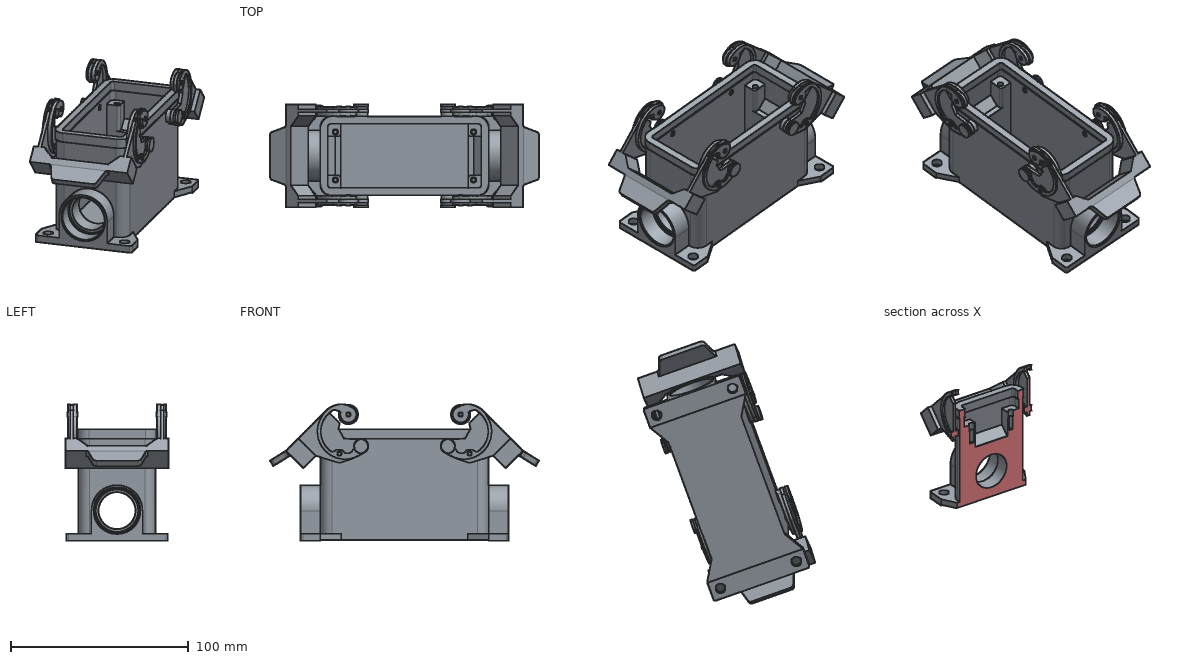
import math

import cadquery as cq

LENGTH_HALF = 47.3
RIM_LENGTH_HALF = 47.45
WIDTH_HALF = 21.8
RIM_WIDTH_HALF = 22.25
CORNER_RADIUS = 6.3
BODY_BOTTOM = 0.45
RIM_BOTTOM = 57.4
BODY_TOP = 62.8

MOUTH_LENGTH_HALF = 43.1
MOUTH_WIDTH_HALF = 18.0
MOUTH_RADIUS = 1.5
CAVITY_LENGTH_HALF = 44.2
CAVITY_WIDTH_HALF = 18.5
CAVITY_RADIUS = 2.5
FLOOR_TOP = 3.5
END_BLOCK_X = 35.8
RAMP_FOOT_X = 39.0
RAMP_FOOT_Z = 36.0
RAMP_TOP_Z = 40.9

POST_TOP = 51.4
POST_INNER_Y = 10.95
POST_CORNER_RADIUS = 1.5
POST_HOLE_X = 38.9
POST_HOLE_Y = 13.5
POST_HOLE_DIAMETER = 3.1
POST_HOLE_LEAD_DEPTH = 4.0
POST_CORE_DIAMETER = 2.2
POST_HOLE_DEPTH = 12.0

ENTRY_END_X = 58.6
ENTRY_AXIS_Z = 17.0
ENTRY_RADIUS = 14.35
ENTRY_BORE_RADIUS = 12.5
ENTRY_BORE_DEPTH = 10.4
ENTRY_SEAT_RADIUS = 11.9
ENTRY_SEAT_DEPTH = 11.3
ENTRY_CHAMFER = 0.7
ENTRY_PASSAGE_RADIUS = 10.35

FOOT_HALF_WIDTH = 28.65
FOOT_TOP = 4.1
FOOT_TAPER_END_X = 35.7
FOOT_CORNER_RADIUS = 1.3
FOOT_HOLE_X = 52.8
FOOT_HOLE_Y = 22.7
FOOT_HOLE_DIAMETER = 5.5

LEVER_LENGTH_HALF = 151.49 / 2
LEVER_WIDTH_HALF = 29.0
LAYER_INNER_Y = 22.4
LAYER_MIDDLE_Y = 24.5
LAYER_OUTER_Y = 26.4
LAYER_END_Y = 27.6
BAR_CORNER = (-66.75, 50.65)
BAR_WIDTH = 9.9
BAR_DEPTH = 13.9
BAR_WEB_WIDTH = 4.0
BAR_WEB_HALF_LENGTH = 16.6
FLAP_ANGLE = 31.5
FLAP_THICKNESS = 3.6
FLAP_ROOT_HALF_WIDTH = 17.3
FLAP_NECK_HALF_WIDTH = 15.9
FLAP_FLARE_LENGTH = 1.7
FLAP_FLARE_BOW = (16.3, -0.7)
FLAP_TIP_HALF_WIDTH = 13.1
FLAP_TIP_RADIUS = 2.0

CLAW_SHOULDER_STEP = 15.9
CLAW_EDGE = [
    (-36.3, 66.1),
    (-37.1, 63.0),
    (-34.1, 57.7),
    (-32.0, 57.3),
    (-24.4, 57.2),
]
HOOK_TOP_Z = 76.91
HOOK_CENTER = (-33.4, 61.5)
HOOK_OUTER_RADIUS = 15.6
HOOK_INNER_RADIUS = 13.7
ROLLER_CENTER = (-31.6, 71.05)
ROLLER_RADIUS = 5.5
HOOK_TIP_RADIUS = 4.5
HOOK_APEX_X = -36.2
HOOK_SHOULDER_BOW = (-43.3, 74.0)
HOOK_GAP_BOW = (-38.0, 73.3)
HOOK_GAP_CORNER = (-40.4, 73.4)
TAIL_BOW = (-27.0, 47.3)
TAIL_END_ANGLE = -55
TAIL_RELIEF_BOW = (-39.6, 50.4)
TAIL_RELIEF_LEFT = (-38.3, 51.3)
TAIL_RELIEF_RIGHT = (-35.3, 51.3)
TAIL_DIP_START = (-33.6, 49.5)
TAIL_DIP_BOW = (-31.6, 49.2)
TAIL_DIP_END = (-28.9, 51.4)
PIVOT_CENTER = (-36.6, 49.1)
PIVOT_LOBE_RADIUS = 5.1
RIVET_RADIUS = 1.3
RIVET_PROUD = 0.45
RIVET_CHAMFER = 0.3
PIN_CENTER = (-24.4, 53.3)
PIN_RADIUS = 3.75
PIN_HEAD_RADIUS = 4.05
PIN_END_RADIUS = 1.6
PIN_END_RECESS = 1.2

INNER_START_ANGLE = 133
INNER_LEFT_ANGLE = 190
INNER_END_ANGLE = 237
OUTER_START_ANGLE = 147
OUTER_LEFT_ANGLE = 205
OUTER_END_ANGLE = 275
TIP_START_ANGLE = 75
TIP_LOW_ANGLE = -60
TIP_END_ANGLE = 165
LOBE_START_ANGLE = -107
LOBE_LOW_ANGLE = -85
LOBE_END_ANGLE = -60


def both_ends(shape):
    return shape.union(shape.mirror("YZ"))


def both_sides(shape):
    return shape.union(shape.mirror("XZ"))


def rounded_block(half_length, half_width, z_low, z_high, radius):
    block = cq.Workplane("XY").workplane(offset=z_low)
    block = block.rect(2 * half_length, 2 * half_width).extrude(z_high - z_low)
    return block.edges("|Z").fillet(radius)


def side_layer(outline, y_near, y_far):
    """Extrude an XZ outline between two distances from the mid plane, on the -Y side."""
    return outline.extrude(y_far - y_near).translate((0, -y_near, 0))


def side_disc(center, radius, y_near, y_far):
    return side_layer(cq.Workplane("XZ").center(*center).circle(radius), y_near, y_far)


def polar(center, radius, degrees):
    angle = math.radians(degrees)
    return (center[0] + radius * math.cos(angle), center[1] + radius * math.sin(angle))


def make_shell():
    shell = rounded_block(LENGTH_HALF, WIDTH_HALF, BODY_BOTTOM, RIM_BOTTOM, CORNER_RADIUS)
    rim = rounded_block(RIM_LENGTH_HALF, RIM_WIDTH_HALF, RIM_BOTTOM, BODY_TOP, CORNER_RADIUS)
    return shell.union(rim)


def make_foot():
    outline = [
        (-ENTRY_END_X, -FOOT_HALF_WIDTH),
        (-LENGTH_HALF, -FOOT_HALF_WIDTH),
        (-FOOT_TAPER_END_X, -WIDTH_HALF),
        (-FOOT_TAPER_END_X, WIDTH_HALF),
        (-LENGTH_HALF, FOOT_HALF_WIDTH),
        (-ENTRY_END_X, FOOT_HALF_WIDTH),
    ]
    foot = cq.Workplane("XY").workplane(offset=BODY_BOTTOM).polyline(outline).close()
    foot = foot.extrude(FOOT_TOP - BODY_BOTTOM)
    pad = cq.Workplane("XY").box(
        ENTRY_END_X - LENGTH_HALF, 2 * FOOT_HALF_WIDTH, FOOT_TOP, centered=(False, True, False)
    )
    foot = foot.union(pad.translate((-ENTRY_END_X, 0, 0)))
    return foot.edges("|Z and <X").fillet(FOOT_CORNER_RADIUS)


def make_entry():
    length = ENTRY_END_X - LENGTH_HALF + CORNER_RADIUS
    entry = (
        cq.Workplane("YZ")
        .moveTo(-ENTRY_RADIUS, BODY_BOTTOM)
        .lineTo(-ENTRY_RADIUS, ENTRY_AXIS_Z)
        .threePointArc((0, ENTRY_AXIS_Z + ENTRY_RADIUS), (ENTRY_RADIUS, ENTRY_AXIS_Z))
        .lineTo(ENTRY_RADIUS, BODY_BOTTOM)
        .close()
        .extrude(length)
    )
    return entry.translate((-ENTRY_END_X, 0, 0))


def make_cavity():
    cavity = rounded_block(
        CAVITY_LENGTH_HALF, CAVITY_WIDTH_HALF, FLOOR_TOP, RIM_BOTTOM, CAVITY_RADIUS
    )
    mouth = rounded_block(
        MOUTH_LENGTH_HALF, MOUTH_WIDTH_HALF, RIM_BOTTOM, BODY_TOP, MOUTH_RADIUS
    )
    cavity = cavity.union(mouth)
    end_wall = [
        (-LENGTH_HALF, FLOOR_TOP),
        (-END_BLOCK_X, FLOOR_TOP),
        (-END_BLOCK_X, RAMP_FOOT_Z),
        (-RAMP_FOOT_X, RAMP_FOOT_Z),
        (-CAVITY_LENGTH_HALF, RAMP_TOP_Z),
        (-LENGTH_HALF, RAMP_TOP_Z),
    ]
    wall = cq.Workplane("XZ").polyline(end_wall).close().extrude(WIDTH_HALF, both=True)
    post_length = LENGTH_HALF - END_BLOCK_X
    post = (
        cq.Workplane("XY")
        .box(post_length, WIDTH_HALF - POST_INNER_Y, POST_TOP - FLOOR_TOP, centered=False)
        .edges("|Z and >X and >Y")
        .fillet(POST_CORNER_RADIUS)
        .translate((-LENGTH_HALF, -WIDTH_HALF, FLOOR_TOP))
    )
    return cavity.cut(both_ends(wall.union(both_sides(post))))


def make_bores():
    entry_plane = cq.Workplane("YZ").center(0, ENTRY_AXIS_Z)
    passage = entry_plane.circle(ENTRY_PASSAGE_RADIUS).extrude(ENTRY_END_X - END_BLOCK_X)
    thread_bore = entry_plane.circle(ENTRY_BORE_RADIUS).extrude(ENTRY_BORE_DEPTH)
    seat = entry_plane.circle(ENTRY_SEAT_RADIUS).extrude(ENTRY_SEAT_DEPTH)
    mouth = (
        entry_plane.circle(ENTRY_BORE_RADIUS + ENTRY_CHAMFER)
        .workplane(offset=ENTRY_CHAMFER)
        .circle(ENTRY_BORE_RADIUS)
        .loft()
    )
    bores = passage.union(thread_bore).union(seat).union(mouth)
    return bores.translate((-ENTRY_END_X, 0, 0))


def make_vertical_holes():
    mounting = cq.Workplane("XY").center(-FOOT_HOLE_X, -FOOT_HOLE_Y)
    mounting = mounting.circle(FOOT_HOLE_DIAMETER / 2).extrude(FOOT_TOP)
    insert = cq.Workplane("XY").workplane(offset=POST_TOP).center(-POST_HOLE_X, -POST_HOLE_Y)
    lead = insert.circle(POST_HOLE_DIAMETER / 2).extrude(-POST_HOLE_LEAD_DEPTH)
    core = insert.circle(POST_CORE_DIAMETER / 2).extrude(-POST_HOLE_DEPTH)
    return both_sides(mounting.union(lead).union(core))


def make_bar():
    shoulder = BAR_WEB_HALF_LENGTH + BAR_WIDTH - BAR_WEB_WIDTH
    outline = [
        (-LEVER_WIDTH_HALF, 0),
        (LEVER_WIDTH_HALF, 0),
        (LEVER_WIDTH_HALF, BAR_WIDTH),
        (shoulder, BAR_WIDTH),
        (BAR_WEB_HALF_LENGTH, BAR_WEB_WIDTH),
        (-BAR_WEB_HALF_LENGTH, BAR_WEB_WIDTH),
        (-shoulder, BAR_WIDTH),
        (-LEVER_WIDTH_HALF, BAR_WIDTH),
    ]
    plane = cq.Plane((BAR_CORNER[0], 0, BAR_CORNER[1]), (0, 1, 0), (1, 0, -1))
    return cq.Workplane(plane).polyline(outline).close().extrude(BAR_DEPTH)


def make_flap():
    slope = math.radians(FLAP_ANGLE)
    length = (LEVER_LENGTH_HALF + BAR_CORNER[0]) / math.cos(slope)
    normal = (math.sin(slope), 0, -math.cos(slope))
    plane = cq.Plane((BAR_CORNER[0], 0, BAR_CORNER[1]), (0, 1, 0), normal)
    bow_y, bow_depth = FLAP_FLARE_BOW
    flap = (
        cq.Workplane(plane)
        .moveTo(-FLAP_ROOT_HALF_WIDTH, FLAP_THICKNESS)
        .lineTo(FLAP_ROOT_HALF_WIDTH, FLAP_THICKNESS)
        .lineTo(FLAP_ROOT_HALF_WIDTH, 0)
        .threePointArc((bow_y, bow_depth), (FLAP_NECK_HALF_WIDTH, -FLAP_FLARE_LENGTH))
        .lineTo(FLAP_TIP_HALF_WIDTH, -length)
        .lineTo(-FLAP_TIP_HALF_WIDTH, -length)
        .lineTo(-FLAP_NECK_HALF_WIDTH, -FLAP_FLARE_LENGTH)
        .threePointArc((-bow_y, bow_depth), (-FLAP_ROOT_HALF_WIDTH, 0))
        .close()
        .extrude(FLAP_THICKNESS)
    )
    tip_corners = cq.selectors.ParallelDirSelector(cq.Vector(*normal))
    return flap.edges(tip_corners).edges("<X").fillet(FLAP_TIP_RADIUS)


def make_hook_outline():
    """C-shaped hook with the roller tip at its upper end and the pin at its lower end."""
    tail_end = polar(PIN_CENTER, PIN_RADIUS, TAIL_END_ANGLE)
    inner_top = polar(HOOK_CENTER, HOOK_INNER_RADIUS, INNER_START_ANGLE)
    inner_low = polar(HOOK_CENTER, HOOK_INNER_RADIUS, INNER_END_ANGLE)
    tip_outer = polar(ROLLER_CENTER, HOOK_TIP_RADIUS, TIP_START_ANGLE)
    tip_inner = polar(ROLLER_CENTER, HOOK_TIP_RADIUS, TIP_END_ANGLE)
    shoulder = polar(HOOK_CENTER, HOOK_OUTER_RADIUS, OUTER_START_ANGLE)
    outer_low = polar(HOOK_CENTER, HOOK_OUTER_RADIUS, OUTER_END_ANGLE)
    outer_left = polar(HOOK_CENTER, HOOK_OUTER_RADIUS, OUTER_LEFT_ANGLE)
    inner_left = polar(HOOK_CENTER, HOOK_INNER_RADIUS, INNER_LEFT_ANGLE)
    tip_low = polar(ROLLER_CENTER, HOOK_TIP_RADIUS, TIP_LOW_ANGLE)
    return (
        cq.Workplane("XZ")
        .moveTo(*tail_end)
        .threePointArc(TAIL_BOW, outer_low)
        .threePointArc(outer_left, shoulder)
        .threePointArc(HOOK_SHOULDER_BOW, (HOOK_APEX_X, HOOK_TOP_Z))
        .tangentArcPoint(tip_outer, relative=False)
        .threePointArc(tip_low, tip_inner)
        .threePointArc(HOOK_GAP_BOW, HOOK_GAP_CORNER)
        .lineTo(*inner_top)
        .threePointArc(inner_left, inner_low)
        .threePointArc(TAIL_RELIEF_BOW, TAIL_RELIEF_LEFT)
        .lineTo(*TAIL_RELIEF_RIGHT)
        .lineTo(*TAIL_DIP_START)
        .threePointArc(TAIL_DIP_BOW, TAIL_DIP_END)
        .lineTo(*PIN_CENTER)
        .close()
    )


def make_lever_plate_outline():
    """Flat arm between the handle bar and the pin, ending in an open claw."""
    bar_step = BAR_WIDTH / math.sqrt(2)
    bar_top = (BAR_CORNER[0] + bar_step, BAR_CORNER[1] + bar_step)
    shoulder = (bar_top[0] + CLAW_SHOULDER_STEP, bar_top[1] + CLAW_SHOULDER_STEP)
    depth_step = BAR_DEPTH / math.sqrt(2)
    bar_low = (bar_top[0] + depth_step, bar_top[1] - depth_step)
    lobe_start = polar(PIVOT_CENTER, PIVOT_LOBE_RADIUS, LOBE_START_ANGLE)
    lobe_end = polar(PIVOT_CENTER, PIVOT_LOBE_RADIUS, LOBE_END_ANGLE)
    return (
        cq.Workplane("XZ")
        .moveTo(*bar_top)
        .polyline([shoulder] + CLAW_EDGE, includeCurrent=True)
        .lineTo(*polar(PIN_CENTER, PIN_RADIUS, TAIL_END_ANGLE))
        .threePointArc(TAIL_BOW, lobe_end)
        .threePointArc(polar(PIVOT_CENTER, PIVOT_LOBE_RADIUS, LOBE_LOW_ANGLE), lobe_start)
        .lineTo(*bar_low)
        .close()
    )


def make_rivet(center):
    rivet = side_disc(center, RIVET_RADIUS, LAYER_INNER_Y - RIVET_PROUD, LAYER_END_Y + RIVET_PROUD)
    return rivet.faces("|Y").chamfer(RIVET_CHAMFER)


def make_lever_side():
    side = side_layer(make_lever_plate_outline(), LAYER_MIDDLE_Y, LAYER_OUTER_Y)
    side = side.union(side_layer(make_hook_outline(), LAYER_INNER_Y, LAYER_MIDDLE_Y))
    side = side.union(side_layer(make_hook_outline(), LAYER_OUTER_Y, LAYER_END_Y))
    side = side.union(side_disc(ROLLER_CENTER, ROLLER_RADIUS, LAYER_MIDDLE_Y, LAYER_OUTER_Y))
    side = side.union(side_disc(PIN_CENTER, PIN_RADIUS, CAVITY_WIDTH_HALF, LAYER_END_Y))
    side = side.union(side_disc(PIN_CENTER, PIN_HEAD_RADIUS, LAYER_MIDDLE_Y, LAYER_OUTER_Y))
    side = side.union(side_disc(PIN_CENTER, PIN_HEAD_RADIUS, LAYER_END_Y, LEVER_WIDTH_HALF))
    for center in (ROLLER_CENTER, PIVOT_CENTER):
        side = side.union(make_rivet(center))
    return side


def make_lever():
    return make_bar().union(make_flap()).union(both_sides(make_lever_side()))


def make_pin_recesses():
    recess = side_disc(
        PIN_CENTER, PIN_END_RADIUS, CAVITY_WIDTH_HALF, CAVITY_WIDTH_HALF + PIN_END_RECESS
    )
    return both_sides(recess)


housing = make_shell().union(both_ends(make_foot().union(make_entry())))
housing = housing.cut(make_cavity())
housing = housing.cut(both_ends(make_bores().union(make_vertical_holes())))
result = housing.union(both_ends(make_lever()))
result = result.cut(both_ends(make_pin_recesses()))